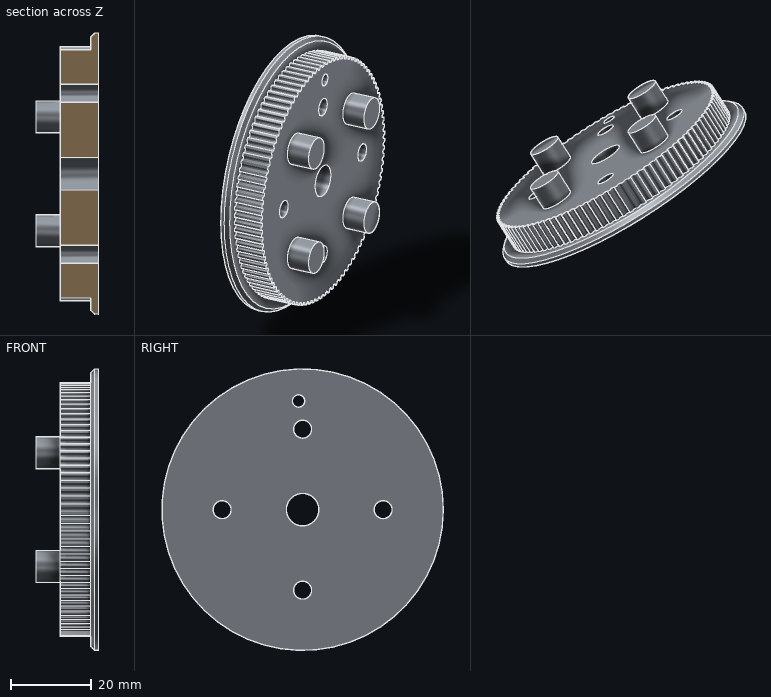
import cadquery as cq
import math

peg_length = 6.0
drum_length = 7.6
flange_thickness = 2.0
drum_start = peg_length
flange_start = drum_start + drum_length

flange_diameter = 70.0
flange_chamfer = 1.0

tooth_count = 100
tooth_pitch = 2.0
pitch_line_offset = 0.254
groove_radius = 0.555
tip_radius = 0.15
drum_radius = tooth_count * tooth_pitch / (2 * math.pi) - pitch_line_offset
tooth_angle = 2 * math.pi / tooth_count

full_turn = 360.0
bolt_circle_radius = 20.0
peg_diameter = 8.0
peg_count = 4
peg_start_angle = 45.0
bolt_hole_diameter = 4.4
bolt_hole_count = 4
bolt_start_angle = 0.0

bore_diameter = 8.0
pin_hole_diameter = 3.0
pin_hole_y = -1.0
pin_hole_z = 27.0


def plane_at(x):
    """Work plane facing +X at the given X; its local axes are Y and Z."""
    return cq.Workplane("YZ", origin=(x, 0, 0))


def turned(point, angle):
    """Point turned about the drum axis."""
    y, z = point
    cosine = math.cos(angle)
    sine = math.sin(angle)
    return (y * cosine - z * sine, y * sine + z * cosine)


def point_on_arc(center, radius, angle):
    """Point at the given angle on a circle, measured from +Y toward +Z."""
    return (center[0] + radius * math.cos(angle), center[1] + radius * math.sin(angle))


def groove_points():
    """Right half of the groove centred on +Z, from the tooth land to the groove bottom.

    The rounded tooth tip runs tangentially into the semicircular groove bottom.
    """
    tip_y = groove_radius + tip_radius
    tip_z = math.sqrt((drum_radius - tip_radius) ** 2 - tip_y ** 2)
    tip_center = (tip_y, tip_z)
    land_angle = math.atan2(tip_z, tip_y)
    land = point_on_arc((0, 0), drum_radius, land_angle)
    tip_middle = point_on_arc(tip_center, tip_radius, (land_angle + math.pi) / 2)
    groove_edge = (groove_radius, tip_z)
    bottom = (0, tip_z - groove_radius)
    return land, tip_middle, groove_edge, bottom


def mirrored(point):
    """Point mirrored across the groove centre line."""
    return (-point[0], point[1])


def make_drum():
    """Drum with one groove and one tooth land per tooth."""
    right_side = groove_points()
    left_side = [mirrored(point) for point in reversed(right_side[:-1])]
    groove = [*right_side, *left_side]
    outline = plane_at(drum_start).moveTo(*groove[0])
    for tooth in range(tooth_count):
        angle = tooth * tooth_angle
        path = [turned(point, angle) for point in groove]
        path.append(turned((0, drum_radius), angle + tooth_angle / 2))
        path.append(turned(groove[0], angle + tooth_angle))
        for middle, end in zip(path[1::2], path[2::2]):
            outline = outline.threePointArc(middle, end)
    return outline.close().extrude(drum_length)


def make_flange():
    """Back disc with its front rim chamfered."""
    disc = plane_at(flange_start).circle(flange_diameter / 2).extrude(flange_thickness)
    return disc.faces("<X").edges().chamfer(flange_chamfer)


def make_pegs():
    """Round pegs standing on the front of the drum."""
    return (
        plane_at(0)
        .polarArray(bolt_circle_radius, peg_start_angle, full_turn, peg_count)
        .circle(peg_diameter / 2)
        .extrude(peg_length)
    )


def make_holes():
    """Cutters through drum and flange: bore, bolt circle and the small pin hole."""
    depth = drum_length + flange_thickness
    bore = plane_at(drum_start).circle(bore_diameter / 2).extrude(depth)
    bolts = (
        plane_at(drum_start)
        .polarArray(bolt_circle_radius, bolt_start_angle, full_turn, bolt_hole_count)
        .circle(bolt_hole_diameter / 2)
        .extrude(depth)
    )
    pin = (
        plane_at(drum_start)
        .center(pin_hole_y, pin_hole_z)
        .circle(pin_hole_diameter / 2)
        .extrude(depth)
    )
    return bore.union(bolts).union(pin)


result = make_drum().union(make_flange()).union(make_pegs()).cut(make_holes())